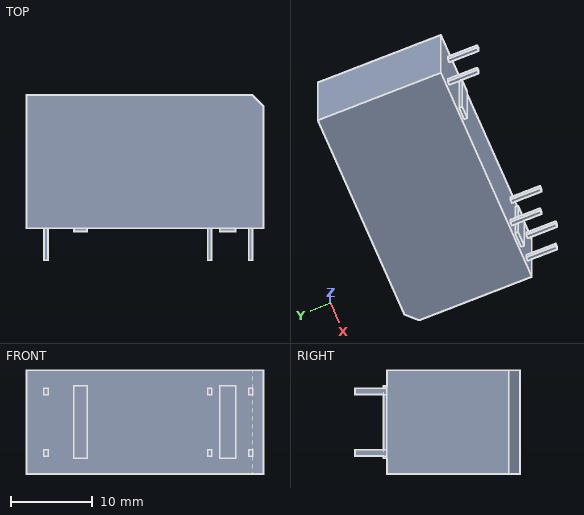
import cadquery as cq

body_length = 29.0
body_depth = 16.3
body_height = 12.7
corner_chamfer = 1.4

pin_width = 0.5
pin_height = 0.8
pin_length = 3.92
pin_row_spacing = 7.5
pin_columns = [2.4, 22.4, 27.4]

pad_height = 8.85
pad_thickness = 0.4
pads = [(6.6, 1.62), (24.6, 1.95)]

mid_height = body_height / 2


def block_on_pin_face(center_x, center_z, width, height, length):
    """Block reaching from the pin face towards -Y."""
    return (
        cq.Workplane("XY")
        .box(width, length, height)
        .translate((center_x, -length / 2, center_z))
    )


result = (
    cq.Workplane("XY")
    .box(body_length, body_depth, body_height, centered=False)
    .edges("|Z and >X and >Y")
    .chamfer(corner_chamfer)
)

for pad_x, pad_width in pads:
    result = result.union(
        block_on_pin_face(pad_x, mid_height, pad_width, pad_height, pad_thickness)
    )

for pin_x in pin_columns:
    for side in (-1, 1):
        pin_z = mid_height + side * pin_row_spacing / 2
        result = result.union(
            block_on_pin_face(pin_x, pin_z, pin_width, pin_height, pin_length)
        )